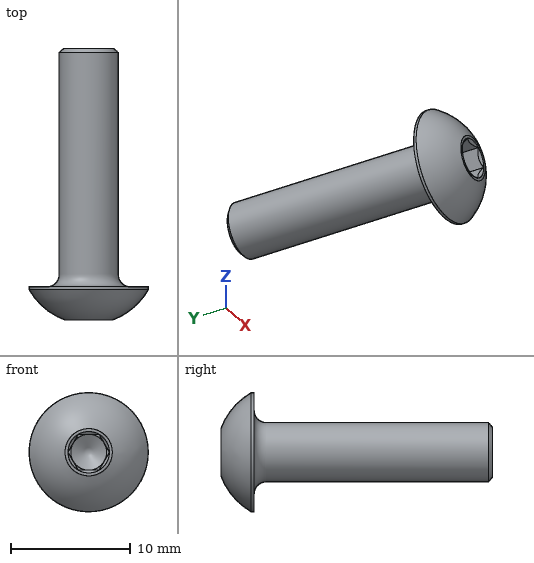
import cadquery as cq
import math

total_length = 22.8
head_radius = 10.0 / 2
shank_radius = 5.0 / 2
head_height = 2.8
rim_height = 0.25
crown_radius = 3.97 / 2
neck_radius = 1.0
tip_chamfer_length = 0.36
tip_chamfer_depth = 0.4

socket_sides = 6
socket_flats = 3.0
socket_depth = 1.7
lead_in_angle = 45.0
drill_point_angle = 120.0

socket_flat_radius = socket_flats / 2
socket_corner_radius = socket_flat_radius / math.cos(math.pi / socket_sides)

crown_y = 0.0
rim_front_y = head_height - rim_height
seat_y = head_height
neck_end_y = seat_y + neck_radius
tip_y = total_length


def dome_midpoint():
    """Point midway along the dome, a sphere centred on the screw axis through crown and rim."""
    centre_y = (head_radius**2 + rim_front_y**2 - crown_radius**2) / (2 * rim_front_y)
    sphere_radius = math.hypot(crown_radius, centre_y)
    middle_radius = (crown_radius + head_radius) / 2
    return (middle_radius, centre_y - math.sqrt(sphere_radius**2 - middle_radius**2))


def screw_body():
    """Head, neck fillet and shank turned about the Y axis."""
    rim_edge = (head_radius, rim_front_y)
    profile = (
        cq.Workplane("XY")
        .moveTo(0, crown_y)
        .lineTo(crown_radius, crown_y)
        .threePointArc(dome_midpoint(), rim_edge)
        .lineTo(head_radius, seat_y)
        .lineTo(shank_radius + neck_radius, seat_y)
        .radiusArc((shank_radius, neck_end_y), neck_radius)
        .lineTo(shank_radius, tip_y - tip_chamfer_length)
        .lineTo(shank_radius - tip_chamfer_depth, tip_y)
        .lineTo(0, tip_y)
        .close()
    )
    return profile.revolve(360, (0, 0), (0, 1))


def cone_along_y(base_radius, base_y, height):
    """Solid cone with its base at base_y and its point further along +Y."""
    return (
        cq.Workplane("XY")
        .moveTo(0, base_y)
        .lineTo(base_radius, base_y)
        .lineTo(0, base_y + height)
        .close()
        .revolve(360, (0, 0), (0, 1))
    )


def socket():
    """Hexagonal socket with a conical lead-in and a drill-point bottom."""
    hexagon = (
        cq.Workplane("XZ")
        .polygon(socket_sides, 2 * socket_corner_radius)
        .extrude(-socket_depth)
    )
    lead_in_height = socket_corner_radius * math.tan(math.radians(lead_in_angle))
    lead_in = cone_along_y(socket_corner_radius, crown_y, lead_in_height)
    drill_point_height = socket_flat_radius / math.tan(math.radians(drill_point_angle / 2))
    drill_point = cone_along_y(socket_flat_radius, socket_depth, drill_point_height)
    return hexagon.union(lead_in).union(drill_point)


result = screw_body().cut(socket())